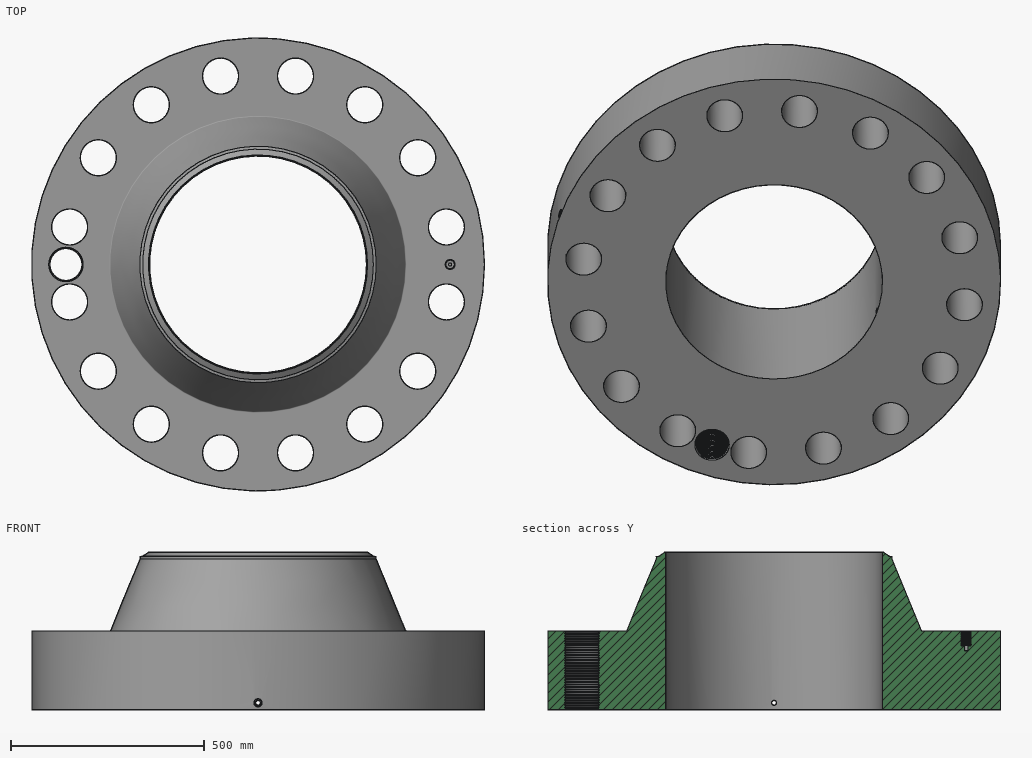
import cadquery as cq

FLANGE_DIAMETER = 1168.4
FLANGE_THICKNESS = 203.2
TOTAL_HEIGHT = 406.4
BORE_DIAMETER = 558.8

HUB_BASE_DIAMETER = 762.0
HUB_TOP_DIAMETER = 609.6
HUB_BASE_FILLET = 3.0
WELD_LAND_WIDTH = 3.0
BEVEL_WIDTH = 15.0
BEVEL_HEIGHT = 10.0
LEDGE_DROP = 1.5
HUB_TOP_BAND_HEIGHT = 6.5

BOLT_CIRCLE_RADIUS = 495.3
BOLT_HOLE_DIAMETER = 92.1
BOLT_COUNT = 16

THREAD_DEPTH_FACTOR = 1.0825

JACK_MAJOR_DIAMETER = 88.9
JACK_PITCH = 6.35

LIFTING_MAJOR_DIAMETER = 25.4
LIFTING_PITCH = 3.175
LIFTING_THREAD_DEPTH = 38.1
LIFTING_PILOT_DIAMETER = 8.0
LIFTING_PILOT_DEPTH = 50.8

TAP_HEIGHT = 18.0
TAP_BORE_DIAMETER = 12.0
TAP_MAJOR_DIAMETER = 21.0
TAP_PITCH = 1.8143
TAP_THREAD_DEPTH = 20.0


def revolve_about_z(profile):
    """Solid of revolution from a closed outline of (radius, height) points."""
    return cq.Workplane("XZ").polyline(profile).close().revolve(360, (0, 0, 0), (0, 1, 0))


def flange_body():
    """Revolve the plate, the tapered hub and the bevelled weld end around the bore."""
    bore_radius = BORE_DIAMETER / 2
    land_radius = bore_radius + WELD_LAND_WIDTH
    bevel_radius = land_radius + BEVEL_WIDTH
    hub_top_radius = HUB_TOP_DIAMETER / 2
    bevel_base_height = TOTAL_HEIGHT - BEVEL_HEIGHT
    ledge_rim_height = bevel_base_height - LEDGE_DROP
    profile = [
        (bore_radius, 0),
        (FLANGE_DIAMETER / 2, 0),
        (FLANGE_DIAMETER / 2, FLANGE_THICKNESS),
        (HUB_BASE_DIAMETER / 2, FLANGE_THICKNESS),
        (hub_top_radius, ledge_rim_height - HUB_TOP_BAND_HEIGHT),
        (hub_top_radius, ledge_rim_height),
        (bevel_radius, bevel_base_height),
        (land_radius, TOTAL_HEIGHT),
        (bore_radius, TOTAL_HEIGHT),
    ]
    body = revolve_about_z(profile)
    hub_base_edge = cq.selectors.RadiusNthSelector(-2)
    return body.edges(hub_base_edge).fillet(HUB_BASE_FILLET)


def bolt_holes():
    """Through holes spaced evenly, straddling the X and Y axes."""
    half_spacing = 180 / BOLT_COUNT
    return (
        cq.Workplane("XY")
        .polarArray(BOLT_CIRCLE_RADIUS, half_spacing, 360, BOLT_COUNT)
        .circle(BOLT_HOLE_DIAMETER / 2)
        .extrude(FLANGE_THICKNESS)
    )


def threaded_cutter(major_diameter, pitch, depth):
    """Cutter reaching down from the origin, its thread made of V-shaped rings."""
    major_radius = major_diameter / 2
    minor_radius = (major_diameter - THREAD_DEPTH_FACTOR * pitch) / 2
    ring_count = round(depth / pitch)
    ring_height = depth / ring_count
    profile = [(0, 0), (major_radius, 0)]
    for ring in range(ring_count):
        profile.append((minor_radius, -(ring + 0.5) * ring_height))
        profile.append((major_radius, -(ring + 1) * ring_height))
    profile.append((0, -depth))
    return revolve_about_z(profile)


def drilled_and_tapped_cutter(major_diameter, pitch, thread_depth, drill_diameter, drill_depth):
    """Threaded mouth continued by a narrower plain drilling, both starting at the origin."""
    thread = threaded_cutter(major_diameter, pitch, thread_depth)
    drilling = cq.Workplane("XY").circle(drill_diameter / 2).extrude(-drill_depth)
    return thread.union(drilling)


def pressure_tap():
    """Radial cutter from the -Y rim into the bore."""
    rim_radius = FLANGE_DIAMETER / 2
    cutter = drilled_and_tapped_cutter(
        TAP_MAJOR_DIAMETER, TAP_PITCH, TAP_THREAD_DEPTH, TAP_BORE_DIAMETER, rim_radius
    )
    return cutter.rotate((0, 0, 0), (1, 0, 0), 90).translate((0, -rim_radius, TAP_HEIGHT))


jack_screw_hole = threaded_cutter(JACK_MAJOR_DIAMETER, JACK_PITCH, FLANGE_THICKNESS)
jack_screw_hole = jack_screw_hole.translate((-BOLT_CIRCLE_RADIUS, 0, FLANGE_THICKNESS))

lifting_hole = drilled_and_tapped_cutter(
    LIFTING_MAJOR_DIAMETER,
    LIFTING_PITCH,
    LIFTING_THREAD_DEPTH,
    LIFTING_PILOT_DIAMETER,
    LIFTING_PILOT_DEPTH,
)
lifting_hole = lifting_hole.translate((BOLT_CIRCLE_RADIUS, 0, FLANGE_THICKNESS))

front_tap = pressure_tap()
rear_tap = front_tap.mirror("XZ")

result = flange_body()
for cutter in (bolt_holes(), jack_screw_hole, lifting_hole, front_tap, rear_tap):
    result = result.cut(cutter)